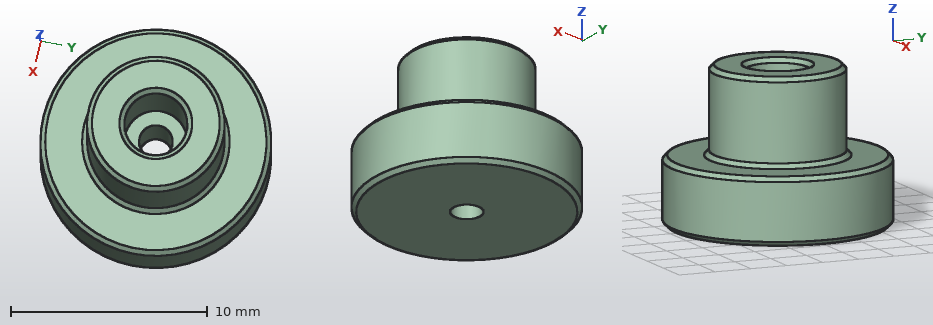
import cadquery as cq

flange_diameter = 11.75
flange_height = 3.6
hub_diameter = 7.0
total_height = 8.3
through_hole_diameter = 1.7
counterbore_diameter = 3.2
edge_break = 0.25

flange_radius = flange_diameter / 2
hub_radius = hub_diameter / 2
counterbore_radius = counterbore_diameter / 2
counterbore_depth = total_height - flange_height


def make_body():
    """Flange and hub turned about Z, with chamfered rims and a cone at the hub root."""
    profile = (
        cq.Workplane("XZ")
        .moveTo(0, 0)
        .lineTo(flange_radius - edge_break, 0)
        .lineTo(flange_radius, edge_break)
        .lineTo(flange_radius, flange_height - edge_break)
        .lineTo(flange_radius - edge_break, flange_height)
        .lineTo(hub_radius + edge_break, flange_height)
        .lineTo(hub_radius, flange_height + edge_break)
        .lineTo(hub_radius, total_height - edge_break)
        .lineTo(hub_radius - edge_break, total_height)
        .lineTo(0, total_height)
        .close()
    )
    return profile.revolve(360, (0, 0, 0), (0, 1, 0))


def make_bore():
    """Stepped bore: small through hole, wide counterbore and a chamfered mouth."""
    counterbore_floor = total_height - counterbore_depth
    through_hole_radius = through_hole_diameter / 2
    profile = (
        cq.Workplane("XZ")
        .moveTo(0, 0)
        .lineTo(through_hole_radius, 0)
        .lineTo(through_hole_radius, counterbore_floor)
        .lineTo(counterbore_radius, counterbore_floor)
        .lineTo(counterbore_radius, total_height - edge_break)
        .lineTo(counterbore_radius + edge_break, total_height)
        .lineTo(0, total_height)
        .close()
    )
    return profile.revolve(360, (0, 0, 0), (0, 1, 0))


result = make_body().cut(make_bore())